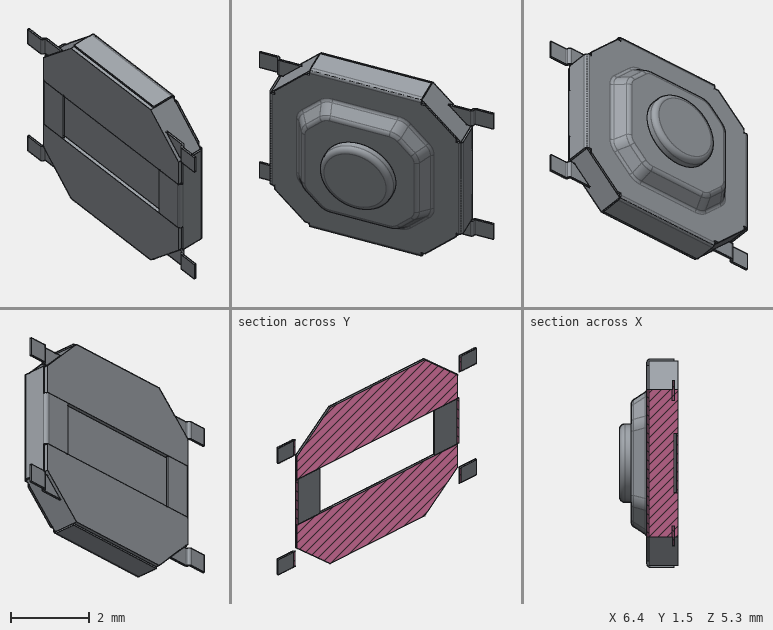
import cadquery as cq
import math


PIN_SPAN = 6.4
COVER_WIDTH = 5.3
SHEET = 0.05
COVER_TOP = 0.8
DOME_TOP = 1.2
BUTTON_TOP = 1.5

BASE_HALF = COVER_WIDTH / 2 - SHEET
FLAT_HALF = 1.53
CORNER_CUT = BASE_HALF - FLAT_HALF
BASE_TOP = COVER_TOP - SHEET
CHANNEL_DEPTH = 0.1
CHANNEL_HALF = 0.75

BEND_RADIUS = 0.1
FLAP_BOTTOM = BEND_RADIUS
PLATE_HALF = 2.48
TAB_REACH = 0.8

DOME_FOOT_HALF = 1.83
DOME_CORNER_CUT = 0.75
DOME_DRAFT = 33.0
DOME_EDGE_RADIUS = 0.5
DOME_TOP_RADIUS = 0.15
DOME_FOOT_RADIUS = 0.1
BUTTON_RADIUS = 1.0
BUTTON_EDGE_RADIUS = 0.15

PIN_WIDTH = 0.5
PIN_Z = 1.85
PIN_RISE = 0.15
PIN_INNER_X = 1.85
RISER_INNER_X = 2.64
PIN_BEND = PIN_RISE / 2


def plane_at(y):
    """Workplane across the switch at height y, facing +Y."""
    return cq.Workplane(cq.Plane(origin=(0, y, 0), xDir=(1, 0, 0), normal=(0, 1, 0)))


def octagon(y, half, cut):
    """Square of the given half width with its four corners cut at 45 degrees."""
    flat = half - cut
    points = [(half, -flat), (half, flat), (flat, half), (-flat, half),
              (-half, flat), (-half, -flat), (-flat, -half), (flat, -half)]
    return plane_at(y).polyline(points).close()


def block(y_low, y_high, x_half, z_half):
    """Centred block between two heights."""
    return plane_at(y_low).rect(2 * x_half, 2 * z_half).extrude(y_high - y_low)


def arc_middle(center, radius, degrees):
    """Point on a circle, used as the middle point of an arc."""
    angle = math.radians(degrees)
    return (center[0] + radius * math.cos(angle), center[1] + radius * math.sin(angle))


def make_pin():
    """Pin at +X and +Z: foot, S-shaped riser and arm that enters the base."""
    tip = PIN_SPAN / 2
    inner_bend = PIN_BEND - SHEET
    lower_center = (RISER_INNER_X + PIN_BEND, PIN_BEND)
    upper_center = (RISER_INNER_X - inner_bend, PIN_BEND)
    return (
        cq.Workplane("XY").workplane(offset=PIN_Z - PIN_WIDTH / 2)
        .moveTo(tip, 0)
        .lineTo(lower_center[0], 0)
        .threePointArc(arc_middle(lower_center, PIN_BEND, 225), (RISER_INNER_X, PIN_BEND))
        .threePointArc(arc_middle(upper_center, inner_bend, 45),
                       (upper_center[0], PIN_RISE - SHEET))
        .lineTo(PIN_INNER_X, PIN_RISE - SHEET)
        .lineTo(PIN_INNER_X, PIN_RISE)
        .lineTo(upper_center[0], PIN_RISE)
        .threePointArc(arc_middle(upper_center, PIN_BEND, 45),
                       (RISER_INNER_X + SHEET, PIN_BEND))
        .threePointArc(arc_middle(lower_center, inner_bend, 225), (lower_center[0], SHEET))
        .lineTo(tip, SHEET)
        .close()
        .extrude(PIN_WIDTH)
    )


def make_pins():
    """One pin at each corner, mirrored from the +X, +Z pin."""
    right_upper = make_pin()
    pins = []
    for pin in (right_upper, right_upper.mirror("YZ")):
        pins.append(pin)
        pins.append(pin.mirror("XY"))
    return pins


def make_base(pins):
    """Octagonal base with a channel along X below it and a slot for each pin."""
    base = octagon(0, BASE_HALF, CORNER_CUT).extrude(BASE_TOP)
    base = base.cut(block(0, CHANNEL_DEPTH, BASE_HALF, CHANNEL_HALF))
    for pin in pins:
        base = base.cut(pin)
    return base


def make_flaps():
    """Two crossing strips over the base, folded down into a flap on each side."""
    outer = COVER_WIDTH / 2
    along_x = block(FLAP_BOTTOM, COVER_TOP, outer, FLAT_HALF)
    along_x = along_x.edges("|Z and >Y").fillet(BEND_RADIUS)
    along_z = block(FLAP_BOTTOM, COVER_TOP, FLAT_HALF, outer)
    along_z = along_z.edges("|X and >Y").fillet(BEND_RADIUS)
    cavity = block(FLAP_BOTTOM, BASE_TOP, BASE_HALF, BASE_HALF)
    return along_x.union(along_z).cut(cavity)


def make_tab():
    """Tab at +X that continues the flap and folds in below the base."""
    outer = COVER_WIDTH / 2
    inner_bend = BEND_RADIUS - SHEET
    center = (outer - BEND_RADIUS, BEND_RADIUS)
    end = outer - TAB_REACH
    return (
        cq.Workplane("XY").workplane(offset=-CHANNEL_HALF)
        .moveTo(outer, BEND_RADIUS)
        .threePointArc(arc_middle(center, BEND_RADIUS, -45), (center[0], 0))
        .lineTo(end, 0)
        .lineTo(end, SHEET)
        .lineTo(center[0], SHEET)
        .threePointArc(arc_middle(center, inner_bend, -45), (BASE_HALF, BEND_RADIUS))
        .close()
        .extrude(2 * CHANNEL_HALF)
    )


def make_dome():
    """Drafted octagonal dome with rounded corners and a rounded top edge."""
    height = DOME_TOP - COVER_TOP
    dome = octagon(COVER_TOP, DOME_FOOT_HALF, DOME_CORNER_CUT).extrude(height, taper=DOME_DRAFT)
    dome = dome.edges("not(#Y)").fillet(DOME_EDGE_RADIUS)
    return dome.faces(">Y").edges().fillet(DOME_TOP_RADIUS)


def make_button():
    """Round button on top of the dome."""
    button = plane_at(DOME_TOP).circle(BUTTON_RADIUS).extrude(BUTTON_TOP - DOME_TOP)
    return button.faces(">Y").edges().fillet(BUTTON_EDGE_RADIUS)


def make_cover():
    """Sheet cover with four flaps, two tabs, the dome and the button."""
    plate = octagon(BASE_TOP, BASE_HALF, CORNER_CUT).extrude(SHEET)
    plate = plate.intersect(block(BASE_TOP, COVER_TOP, PLATE_HALF, PLATE_HALF))
    cover = plate.union(make_flaps()).union(make_dome())
    foot_reach = DOME_FOOT_HALF + SHEET
    foot_edges = cq.selectors.BoxSelector(
        (-foot_reach, COVER_TOP - SHEET / 2, -foot_reach),
        (foot_reach, COVER_TOP + SHEET / 2, foot_reach))
    cover = cover.edges(foot_edges).fillet(DOME_FOOT_RADIUS)
    tab = make_tab()
    cover = cover.union(tab).union(tab.mirror("YZ"))
    return cover.union(make_button())


pins = make_pins()
base = make_base(pins)
cover = make_cover()

result = cq.Compound.makeCompound([base.val(), cover.val(), *[pin.val() for pin in pins]])